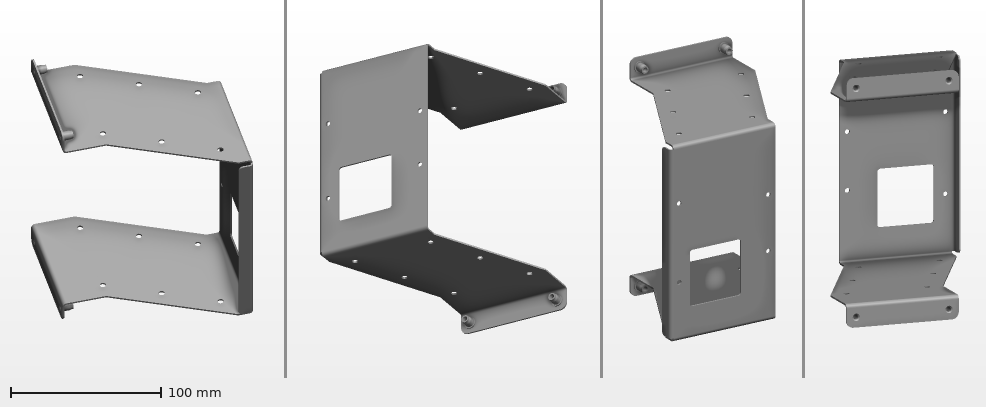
import cadquery as cq


thickness = 1.2
bend_inner = 1.5
bend_outer = bend_inner + thickness

height = 170.0
depth = 120.0
plate_width = 79.9
wall_shift = 40.1
wall_height = 139.9
ear_straight = 30.0
wall_straight = 9.9
ear_corner = 5.0
half_height = height / 2
half_wall = wall_height / 2
wall_end = wall_shift + plate_width

flange_depth = 10.2
flange_corner = 3.0

plate_hole_diameter = 4.0
plate_hole_start = (11.5, 30.6)
plate_hole_pitch = 57.5
row_count = 3
row_step = (17.8, 35.7)

wall_hole_diameter = 3.4
wall_hole_pairs = [(45.7, 20.0), (115.6, 28.0)]

window_side = 40.1
window_corner = 2.0
window_left = 67.2
window_top = -7.0

nut_inset = 7.0
nut_drop = 7.0
nut_length = 8.7
shank_radius = 3.4
nut_flange_radius = 3.9
nut_flange_thickness = 0.8
barrel_radius = 3.0
barrel_end = 6.1
shoulder_end = 7.8
tip_radius = 2.64
bore_radius = 1.7
mouth_radius = 2.5
mouth_depth = 0.7


def half_strip():
    """Upper half of the bent strip: half back wall, side plate and ear."""
    under = half_wall - thickness
    return (
        cq.Workplane("YZ")
        .moveTo(depth, 0)
        .lineTo(depth, half_wall - bend_outer)
        .tangentArcPoint((depth - bend_outer, half_wall), relative=False)
        .lineTo(bend_outer, half_wall)
        .tangentArcPoint((thickness, half_wall + bend_inner), relative=False)
        .lineTo(thickness, half_height)
        .lineTo(0, half_height)
        .lineTo(0, under + bend_outer)
        .tangentArcPoint((bend_outer, under), relative=False)
        .lineTo(depth - bend_outer, under)
        .tangentArcPoint((depth - thickness, half_wall - bend_outer), relative=False)
        .lineTo(depth - thickness, 0)
        .close()
        .extrude(wall_end)
    )


def plan_outline():
    """Slanted outline of the side plates, through the full height."""
    return (
        cq.Workplane("XY", origin=(0, 0, -half_height))
        .polyline([
            (0, 0),
            (plate_width, 0),
            (plate_width, ear_straight),
            (wall_end, depth - wall_straight),
            (wall_end, depth),
            (wall_shift, depth),
            (wall_shift, depth - wall_straight),
            (0, ear_straight),
        ])
        .close()
        .extrude(height)
    )


def side_flange():
    """Lip bent forward from the +X edge of the back wall, with rounded free corners."""
    length = wall_height - 2 * bend_outer
    front = depth - flange_depth
    outer = wall_end + bend_outer
    inner = outer - thickness
    return (
        cq.Workplane("XY", origin=(0, 0, -length / 2))
        .moveTo(wall_end, depth)
        .radiusArc((outer, depth - bend_outer), bend_outer)
        .lineTo(outer, front)
        .lineTo(inner, front)
        .lineTo(inner, depth - bend_outer)
        .tangentArcPoint((wall_end, depth - thickness), relative=False)
        .close()
        .extrude(length)
        .faces("<Y")
        .edges("|X")
        .fillet(flange_corner)
    )


def plate_holes():
    """Cutter for the hole rows through both side plates."""
    start_x, start_y = plate_hole_start
    step_x, step_y = row_step
    centres = [
        (start_x + row * step_x + side * plate_hole_pitch, start_y + row * step_y)
        for row in range(row_count)
        for side in (0, 1)
    ]
    return (
        cq.Workplane("XY", origin=(0, 0, -half_height))
        .pushPoints(centres)
        .circle(plate_hole_diameter / 2)
        .extrude(height)
    )


def wall_openings():
    """Cutter for the window and the small holes of the back wall."""
    wall_back = cq.Workplane("XZ", origin=(0, depth, 0))
    holes = (
        wall_back
        .pushPoints([(x, sign * z) for x, z in wall_hole_pairs for sign in (1, -1)])
        .circle(wall_hole_diameter / 2)
        .extrude(thickness)
    )
    window = (
        wall_back
        .center(window_left + window_side / 2, window_top - window_side / 2)
        .rect(window_side, window_side)
        .extrude(thickness)
        .edges("|Y")
        .fillet(window_corner)
    )
    return holes.union(window)


def nut_centres():
    """X and Z of the four press nuts."""
    nut_z = half_height - nut_drop
    return [(x, z) for x in (nut_inset, plate_width - nut_inset) for z in (nut_z, -nut_z)]


def ear_holes():
    """Cutter for the nut seats in the ears."""
    return (
        cq.Workplane("XZ")
        .pushPoints(nut_centres())
        .circle(shank_radius)
        .extrude(-thickness)
    )


def make_bracket():
    """One bent sheet: two ears, two side plates, the back wall and its side flange."""
    upper = half_strip()
    strip = upper.union(upper.mirror("XY")).intersect(plan_outline())
    strip = strip.faces(">Z or <Z").edges("|Y").fillet(ear_corner)
    bracket = strip.union(side_flange())
    return bracket.cut(plate_holes()).cut(wall_openings()).cut(ear_holes())


def make_nut(x, z):
    """Flanged press nut with its axis along Y and its face flush with the ear."""
    flange_end = thickness + nut_flange_thickness
    profile = [
        (mouth_radius, 0),
        (shank_radius, 0),
        (shank_radius, thickness),
        (nut_flange_radius, thickness),
        (nut_flange_radius, flange_end),
        (barrel_radius, flange_end),
        (barrel_radius, barrel_end),
        (tip_radius, shoulder_end),
        (tip_radius, nut_length),
        (bore_radius, nut_length),
        (bore_radius, mouth_depth),
    ]
    return (
        cq.Workplane("XY")
        .polyline(profile)
        .close()
        .revolve(360, (0, 0, 0), (0, 1, 0))
        .translate((x, 0, z))
    )


bracket = make_bracket()
nuts = [make_nut(x, z) for x, z in nut_centres()]

result = cq.Compound.makeCompound([bracket.val(), *[nut.val() for nut in nuts]])